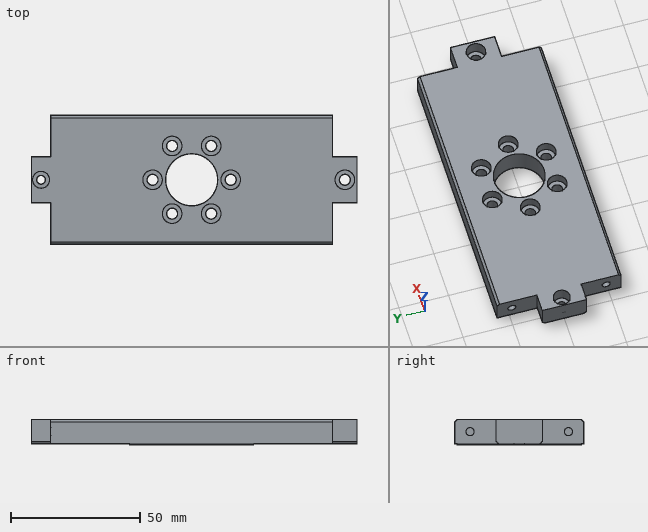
import cadquery as cq
import math

total_length = 126.0
left_tab_length = 7.4
right_tab_length = 9.5
body_length = total_length - left_tab_length - right_tab_length
body_width = 50.0
plate_thickness = 9.5
tab_width = 17.9
edge_chamfer = 1.0

pad_diameter = 48.0
pad_height = 0.5
bore_diameter = 20.0

bolt_circle_radius = 15.1
bolt_count = 6
large_hole = 4.2
large_counterbore = 7.5
small_hole = 3.3
small_counterbore = 6.5
ring_counterbore_depth = 4.3
tab_counterbore_depth = 5.7

end_hole_diameter = 3.2
end_hole_spacing = 38.0
end_hole_depth = 12.6

body_left = -total_length / 2 + left_tab_length
body_right = body_left + body_length
body_center_x = (body_left + body_right) / 2
left_tab_center_x = body_left - left_tab_length / 2
right_tab_center_x = body_right + right_tab_length / 2


def block(length, width, center_x):
    """Rectangular block standing on the plate underside."""
    return (
        cq.Workplane("XY")
        .center(center_x, 0)
        .box(length, width, plate_thickness, centered=(True, True, False))
    )


def drill_counterbored(part, points, hole, counterbore, depth):
    """Drill through holes counterbored from the top face."""
    return (
        part.faces(">Z")
        .workplane(origin=(0, 0, plate_thickness))
        .pushPoints(points)
        .cboreHole(hole, counterbore, depth)
    )


body = block(body_length, body_width, body_center_x).edges("|X and >Z").chamfer(edge_chamfer)
left_tab = block(left_tab_length, tab_width, left_tab_center_x).edges("|X and <Z").chamfer(edge_chamfer)
right_tab = block(right_tab_length, tab_width, right_tab_center_x).edges("|X and <Z").chamfer(edge_chamfer)
pad = cq.Workplane("XY").center(body_center_x, 0).circle(pad_diameter / 2).extrude(-pad_height)
result = body.union(left_tab).union(right_tab).union(pad)

bore = (
    cq.Workplane("XY", origin=(body_center_x, 0, -pad_height))
    .circle(bore_diameter / 2)
    .extrude(plate_thickness + pad_height)
)
result = result.cut(bore)

bolt_points = []
for index in range(bolt_count):
    angle = 2 * math.pi * index / bolt_count
    bolt_x = body_center_x + bolt_circle_radius * math.cos(angle)
    bolt_y = bolt_circle_radius * math.sin(angle)
    bolt_points.append((bolt_x, bolt_y))
right_hole_point = (right_tab_center_x, 0)
left_hole_point = (left_tab_center_x, 0)
result = drill_counterbored(result, bolt_points, large_hole, large_counterbore, ring_counterbore_depth)
result = drill_counterbored(result, [right_hole_point], large_hole, large_counterbore, tab_counterbore_depth)
result = drill_counterbored(result, [left_hole_point], small_hole, small_counterbore, tab_counterbore_depth)

for face_x, inward in ((body_left, 1), (body_right, -1)):
    for side in (-1, 1):
        start = cq.Vector(face_x, side * end_hole_spacing / 2, plate_thickness / 2)
        direction = cq.Vector(inward, 0, 0)
        result = result.cut(
            cq.Workplane(cq.Solid.makeCylinder(end_hole_diameter / 2, end_hole_depth, start, direction))
        )